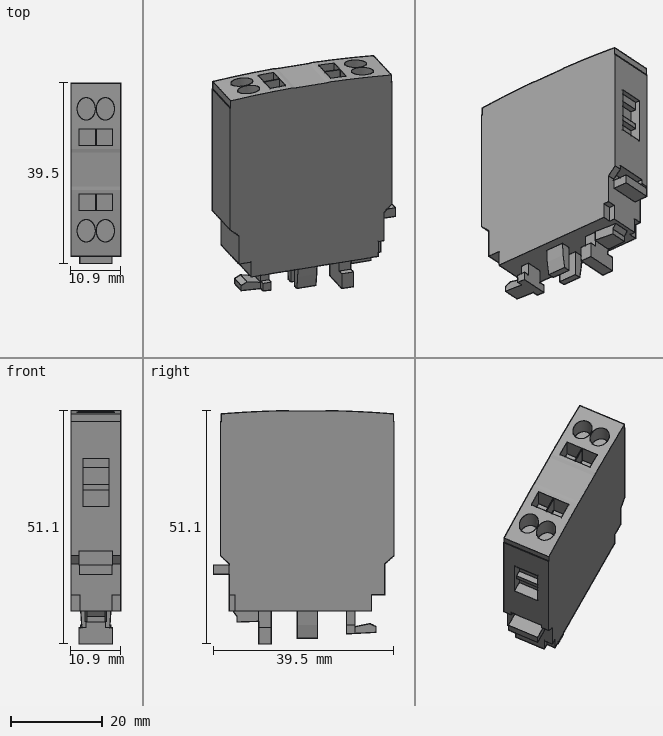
import cadquery as cq


EPS = 0.25

width = 10.9
depth = 38.0
base_z = 7.2
step_z = 10.75
waist_z = 17.5
shoulder_z = 19.35
front_inset = 1.9
back_inset = 2.05
rear_step = 2.9
corner_notch_y = 3.2
corner_notch_gap = 7.0

cap_z = 48.6
cap_inset = 0.15
cap_edge_z = 50.35
total_height = 51.05
mid_y = depth / 2
recess_length = 9.0
recess_floor_length = 7.35
recess_floor_z = 50.95

terminal_depth = 5.1
wire_offset_y = 13.3
wire_x = 2.1
wire_radius_x = 2.0
wire_radius_y = 2.45
release_offset_y = 7.1
release_x = 1.9
release_width = 3.55
release_length = 3.6

window_width = 5.65
window_bottom = 30.05
window_top = 40.55
window_depth = 2.4
ledge_bottom = 38.65
ridge_bottom = 33.7
ridge_top = 34.85
ledge_depth = 1.05

clip_width = 7.1
clip_bottom = 15.2
clip_top = 17.3
clip_reach = 1.55
clip_notch_width = 7.4
clip_notch_top = 20.3
clip_notch_depth = 3.2

front_foot_y = 8.35
front_foot_back = 11.15
front_stem_width = 4.3
front_bar_width = 7.4
front_bar_top = 3.55
tongue_front_y = 3.55
tongue_lip_y = 2.75
tongue_lip_z = 6.1
tongue_front_bottom = 4.8
tongue_back_bottom = 4.95
tongue_front_width = 3.95
tongue_back_width = 4.65

prong_y = 16.75
prong_back = 21.25
prong_bottom = 1.2
prong_knee_z = 4.15
prong_inner_x = 1.05
prong_top_x = 3.3
prong_knee_x = 3.1
prong_tip_x = 2.6

hook_stem_y = 27.5
hook_stem_back = 29.45
hook_width = 4.0
hook_bar_width = 6.7
hook_bar_top = 4.15
hook_shoulder_z = 3.85
hook_crest_y = 32.65
hook_crest_z = 4.5
hook_end_y = 34.05
hook_end_bottom = 2.55
hook_stem_bottom = 2.2


def span(x, y, z):
    """Axis-aligned block between (low, high) limits on each axis."""
    size = (x[1] - x[0], y[1] - y[0], z[1] - z[0])
    return cq.Workplane("XY").box(*size, centered=False).translate((x[0], y[0], z[0]))


def centred(block_width, y, z):
    """Block centred across the width."""
    return span((-block_width / 2, block_width / 2), y, z)


def side_profile(points, profile_width):
    """Outline in the YZ plane, extruded symmetrically across the width."""
    return cq.Workplane("YZ").polyline(points).close().extrude(profile_width / 2, both=True)


def make_housing():
    body = side_profile(
        [
            (front_inset, base_z),
            (front_inset, waist_z),
            (0, shoulder_z),
            (0, cap_z),
            (depth, cap_z),
            (depth, shoulder_z),
            (depth - back_inset, waist_z),
            (depth - back_inset, step_z),
            (depth - back_inset - rear_step, step_z),
            (depth - back_inset - rear_step, base_z),
        ],
        width,
    )
    outer = width / 2 + EPS
    inner = corner_notch_gap / 2
    for x in ((-outer, -inner), (inner, outer)):
        body = body.cut(span(x, (0, corner_notch_y), (base_z - EPS, step_z)))
    return body


def make_cap():
    """Domed cap; its arc reaches full height at the rim of the label recess."""
    recess_rim = mid_y - recess_length / 2
    cap = (
        cq.Workplane("YZ")
        .moveTo(cap_inset, cap_z - EPS)
        .lineTo(cap_inset, cap_edge_z)
        .threePointArc((recess_rim, total_height), (depth - cap_inset, cap_edge_z))
        .lineTo(depth - cap_inset, cap_z - EPS)
        .close()
        .extrude(width / 2, both=True)
    )
    clearance_z = total_height + EPS
    recess = side_profile(
        [
            (mid_y - recess_length / 2, clearance_z),
            (mid_y - recess_length / 2, total_height),
            (mid_y - recess_floor_length / 2, recess_floor_z),
            (mid_y + recess_floor_length / 2, recess_floor_z),
            (mid_y + recess_length / 2, total_height),
            (mid_y + recess_length / 2, clearance_z),
        ],
        width + 2 * EPS,
    )
    return cap.cut(recess)


def make_terminals():
    """Paired wire entries and release openings, mirrored front to back."""
    floor = cq.Workplane("XY").workplane(offset=total_height - terminal_depth)
    cut_height = terminal_depth + EPS
    wire_points = [(x, mid_y + y) for x in (-wire_x, wire_x) for y in (-wire_offset_y, wire_offset_y)]
    release_points = [
        (x, mid_y + y) for x in (-release_x, release_x) for y in (-release_offset_y, release_offset_y)
    ]
    wires = floor.pushPoints(wire_points).ellipse(wire_radius_x, wire_radius_y).extrude(cut_height)
    releases = floor.pushPoints(release_points).rect(release_width, release_length).extrude(cut_height)
    return wires.union(releases)


def make_window():
    """Front window pocket, leaving a ledge at the top and a ridge below it."""
    pocket = centred(window_width, (-EPS, window_depth), (window_bottom, window_top))
    for z in ((ledge_bottom, window_top), (ridge_bottom, ridge_top)):
        pocket = pocket.cut(centred(window_width, (ledge_depth, window_depth), z))
    return pocket


def make_clip():
    return centred(clip_width, (-clip_reach, front_inset + EPS), (clip_bottom, clip_top))


def make_clip_notch():
    return centred(clip_notch_width, (-EPS, clip_notch_depth), (clip_top, clip_notch_top))


def make_front_foot():
    foot_y = (front_foot_y, front_foot_back)
    stem = centred(front_stem_width, foot_y, (0, base_z + EPS))
    bar = centred(front_bar_width, foot_y, (0, front_bar_top))
    tongue = side_profile(
        [
            (front_foot_y, base_z),
            (tongue_lip_y, base_z),
            (tongue_front_y, tongue_lip_z),
            (tongue_front_y, tongue_front_bottom),
            (front_foot_y, tongue_back_bottom),
        ],
        tongue_back_width,
    )
    taper = (
        cq.Workplane("XY")
        .moveTo(-tongue_back_width / 2, front_foot_y)
        .lineTo(-tongue_front_width / 2, tongue_front_y)
        .lineTo(-tongue_front_width / 2, tongue_lip_y)
        .lineTo(tongue_front_width / 2, tongue_lip_y)
        .lineTo(tongue_front_width / 2, tongue_front_y)
        .lineTo(tongue_back_width / 2, front_foot_y)
        .close()
        .extrude(base_z)
    )
    return stem.union(bar).union(tongue.intersect(taper))


def make_prongs():
    """Two mirrored prongs whose outer faces lean inward toward the tip."""
    prong = (
        cq.Workplane("XZ", origin=(0, prong_back, 0))
        .polyline(
            [
                (prong_inner_x, base_z + EPS),
                (prong_top_x, base_z + EPS),
                (prong_top_x, base_z),
                (prong_knee_x, prong_knee_z),
                (prong_tip_x, prong_bottom),
                (prong_inner_x, prong_bottom),
            ]
        )
        .close()
        .extrude(prong_back - prong_y)
    )
    return prong.union(prong.mirror("YZ"))


def make_rear_hook():
    """Stem with a cross bar and a hook nose, all ending on one sloped underside."""
    stem_y = (hook_stem_y, hook_stem_back)
    stem = centred(hook_width, stem_y, (0, base_z + EPS))
    bar = centred(hook_bar_width, stem_y, (0, hook_bar_top))
    nose = side_profile(
        [
            (hook_stem_back, 0),
            (hook_stem_back, hook_shoulder_z),
            (hook_crest_y, hook_crest_z),
            (hook_end_y, hook_shoulder_z),
            (hook_end_y, 0),
        ],
        hook_width,
    )
    below = side_profile(
        [
            (hook_stem_y, 0),
            (hook_stem_y, hook_stem_bottom),
            (hook_end_y, hook_end_bottom),
            (hook_end_y, 0),
        ],
        hook_bar_width,
    )
    return stem.union(bar).union(nose).cut(below)


result = (
    make_housing()
    .union(make_cap())
    .cut(make_terminals())
    .cut(make_window())
    .cut(make_clip_notch())
    .union(make_clip())
    .union(make_front_foot())
    .union(make_prongs())
    .union(make_rear_hook())
)